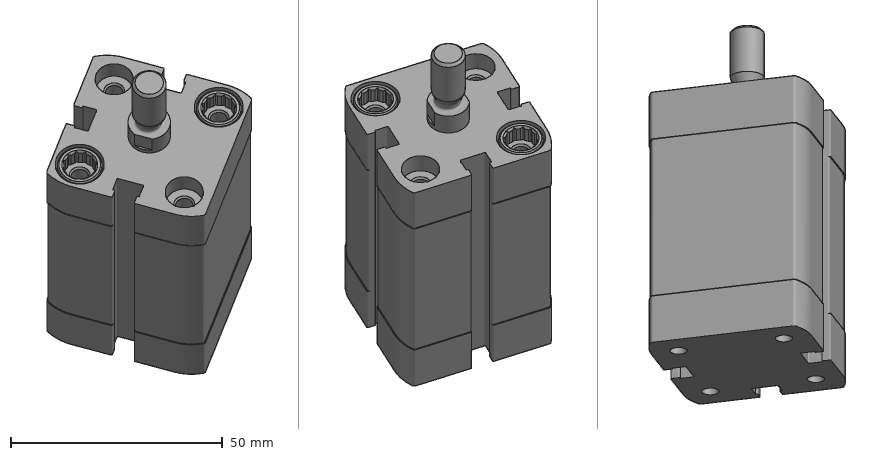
import cadquery as cq
import math

width = 39.5
half = width / 2
housing_height = 64.0
cap_height = 12.0
body_inset = 0.25
corner_arc_radius = 12.5
corner_arc_run = 6.8
corner_edge_radius = 0.85

slot_opening = 5.5
slot_inner_width = 6.6
slot_lip = 2.2
slot_depth = 5.65
slot_edge_radius = 0.3
slot_directions = (90, 180, 270)

hole_offset = 13.0
hole_diameter = 4.1
hole_mouth_diameter = 5.0
counterbore_diameter = 9.0
counterbore_depth = 5.0

recess_diameter = 11.5
head_diameter = 10.5
head_drop = 0.2
head_chamfer = 0.3
socket_diameter = 7.5
socket_mouth_diameter = 8.5
socket_mouth_depth = 0.6
socket_depth = 4.4
flute_count = 12
flute_half_angle = 7.5
flute_tip_diameter = 8.1

overall_height = 85.5
collar_diameter = 10.0
collar_top = 69.6
flats_width = 9.0
flats_bottom = 65.2
neck_diameter = 6.2
neck_fillet = 0.6
neck_top = 71.1
thread_diameter = 8.0
thread_bottom = 73.45
thread_chamfer = 0.7


def block(inset, bottom, height):
    """Prism of the housing outline, moved inward by inset on every side."""
    side = half - inset
    radius = corner_arc_radius - inset
    tangent_x = half - corner_arc_run
    center_y = half - corner_arc_radius
    run = side - tangent_x
    edge_y = center_y + math.sqrt(radius**2 - run**2)
    half_angle = math.asin(run / radius) / 2
    mid_x = tangent_x + radius * math.sin(half_angle)
    mid_y = center_y + radius * math.cos(half_angle)
    outline = (
        cq.Workplane("XY", origin=(0, 0, bottom))
        .moveTo(-tangent_x, side)
        .lineTo(tangent_x, side)
        .threePointArc((mid_x, mid_y), (side, edge_y))
        .lineTo(side, -edge_y)
        .threePointArc((mid_x, -mid_y), (tangent_x, -side))
        .lineTo(-tangent_x, -side)
        .threePointArc((-mid_x, -mid_y), (-side, -edge_y))
        .lineTo(-side, edge_y)
        .threePointArc((-mid_x, mid_y), (-tangent_x, side))
        .close()
    )
    prism = outline.extrude(height)
    sharp_edges = prism.edges("|Z and (<X or >X)")
    return sharp_edges.fillet(corner_edge_radius)


def round_edge_at(body, point):
    """Round the one slot edge whose middle is at point."""
    return body.edges(cq.NearestToPointSelector(point)).fillet(slot_edge_radius)


def t_slot(direction):
    """T-slot cutter over the full housing height, opening towards direction."""
    floor = half - slot_depth
    opening = cq.Workplane("XY", origin=(half - slot_lip, 0, 0)).box(
        slot_lip, slot_opening, housing_height, centered=(False, True, False)
    )
    chamber = cq.Workplane("XY", origin=(floor, 0, 0)).box(
        slot_depth - slot_lip, slot_inner_width, housing_height, centered=(False, True, False)
    )
    chamber = chamber.edges("|Z and <X").fillet(slot_edge_radius)
    cutter = chamber.union(opening)
    for side in (-1, 1):
        lip_edge = (half - slot_lip, side * slot_opening / 2, housing_height / 2)
        cutter = round_edge_at(cutter, lip_edge)
    return cutter.rotate((0, 0, 0), (0, 0, 1), direction)


def section(inset, bottom, height):
    """One length of the housing: slotted block with rounded slot mouths."""
    body = block(inset, bottom, height)
    middle = bottom + height / 2
    for direction in slot_directions:
        body = body.cut(t_slot(direction))
        for side in (-1, 1):
            mouth_edge = cq.Vertex.makeVertex(half - inset, side * slot_opening / 2, middle)
            mouth_edge = mouth_edge.rotate(cq.Vector(), cq.Vector(0, 0, 1), direction)
            body = round_edge_at(body, mouth_edge.toTuple())
    return body


def cylinder(diameter, bottom, top):
    return cq.Workplane("XY", origin=(0, 0, bottom)).circle(diameter / 2).extrude(top - bottom)


def cone(bottom_diameter, top_diameter, bottom, top):
    """Truncated cone on the Z axis."""
    return cq.Workplane("XY").add(
        cq.Solid.makeCone(
            bottom_diameter / 2, top_diameter / 2, top - bottom, pnt=cq.Vector(0, 0, bottom)
        )
    )


def through_hole(floor):
    """Through hole with a 45 degree countersunk mouth at height floor."""
    mouth_depth = (hole_mouth_diameter - hole_diameter) / 2
    mouth = cone(hole_diameter, hole_mouth_diameter, floor - mouth_depth, floor)
    return cylinder(hole_diameter, 0, floor).union(mouth)


def counterbored_hole():
    floor = housing_height - counterbore_depth
    bore = cylinder(counterbore_diameter, floor, housing_height)
    return bore.union(through_hole(floor))


def star_socket(floor, top):
    """Twelve-point socket: a round bore with V-shaped flutes around it."""
    root = socket_diameter / 2
    tip = flute_tip_diameter / 2
    half_angle = math.radians(flute_half_angle)
    root_x = root * math.cos(half_angle)
    root_y = root * math.sin(half_angle)
    socket = cylinder(socket_diameter, floor, top)
    flute = (
        cq.Workplane("XY", origin=(0, 0, floor))
        .polyline([(0, 0), (root_x, -root_y), (tip, 0), (root_x, root_y)])
        .close()
        .extrude(top - floor)
    )
    pitch = 360 / flute_count
    for index in range(flute_count):
        angle = index * pitch
        socket = socket.union(flute.rotate((0, 0, 0), (0, 0, 1), angle))
    return socket


def screw_recess():
    """Cutter that leaves a chamfered screw head with a star socket and through hole."""
    seat = housing_height - counterbore_depth
    head_top = housing_height - head_drop
    socket_floor = head_top - socket_depth
    head = cylinder(head_diameter, seat, head_top).faces(">Z").chamfer(head_chamfer)
    mouth = cone(socket_diameter, socket_mouth_diameter, head_top - socket_mouth_depth, head_top)
    return (
        cylinder(recess_diameter, seat, housing_height)
        .cut(head)
        .union(star_socket(socket_floor, head_top))
        .union(mouth)
        .union(through_hole(socket_floor))
    )


def make_housing():
    top_cap_bottom = housing_height - cap_height
    body = section(body_inset, cap_height, top_cap_bottom - cap_height)
    for bottom in (0, top_cap_bottom):
        body = body.union(section(0, bottom, cap_height))
    for side in (-1, 1):
        offset = side * hole_offset
        body = body.cut(screw_recess().translate((offset, offset, 0)))
        body = body.cut(counterbored_hole().translate((offset, -offset, 0)))
    return body


def make_rod():
    """Piston rod standing on the housing face: collar, neck and thread."""
    collar = collar_diameter / 2
    neck = neck_diameter / 2
    thread = thread_diameter / 2
    rod = (
        cq.Workplane("XZ")
        .moveTo(0, housing_height)
        .lineTo(collar, housing_height)
        .lineTo(collar, collar_top)
        .lineTo(neck, collar_top)
        .lineTo(neck, neck_top)
        .lineTo(thread, thread_bottom)
        .lineTo(thread, overall_height - thread_chamfer)
        .lineTo(thread - thread_chamfer, overall_height)
        .lineTo(0, overall_height)
        .close()
        .revolve(360, (0, 0, 0), (0, 1, 0))
    )
    neck_ends = cq.selectors.RadiusNthSelector(0)
    rod = rod.edges("%CIRCLE").edges(neck_ends).fillet(neck_fillet)
    flats_height = collar_top - flats_bottom
    for side in (-1, 1):
        flat = cq.Workplane("XY").box(
            collar_diameter, collar_diameter, flats_height, centered=(True, True, False)
        )
        flat_center = side * (flats_width + collar_diameter) / 2
        rod = rod.cut(flat.translate((0, flat_center, flats_bottom)))
    return rod


housing = make_housing()
rod = make_rod()

result = cq.Compound.makeCompound([housing.val(), rod.val()])